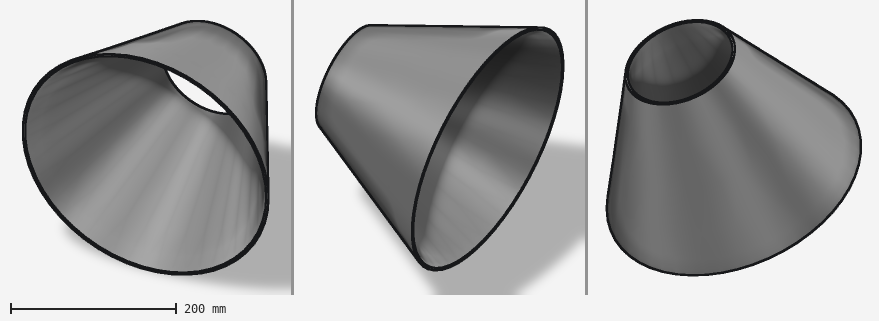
import cadquery as cq

wide_diameter = 324.0
narrow_diameter = 139.5
length = 203.0
radial_wall = 3.2

wide_radius = wide_diameter / 2
narrow_radius = narrow_diameter / 2
wide_end_y = -length / 2
narrow_end_y = length / 2

wall_section = (
    cq.Workplane("XY")
    .moveTo(wide_radius, wide_end_y)
    .lineTo(narrow_radius, narrow_end_y)
    .lineTo(narrow_radius - radial_wall, narrow_end_y)
    .lineTo(wide_radius - radial_wall, wide_end_y)
    .close()
)

result = wall_section.revolve(360, (0, 0, 0), (0, 1, 0))